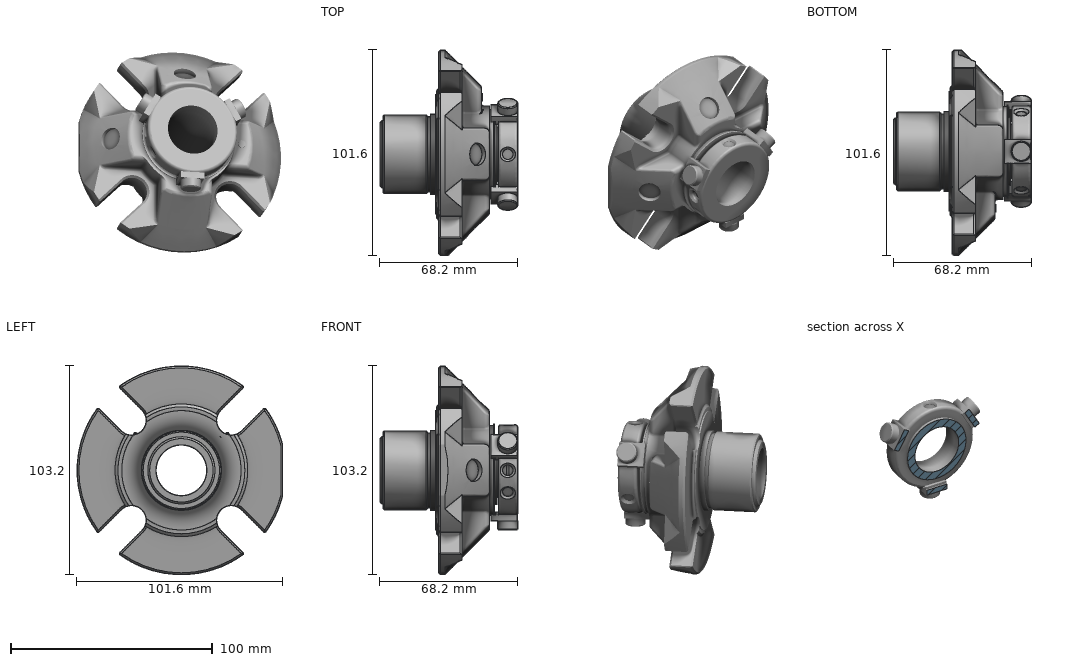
import cadquery as cq
import math


flange_radius = 51.6
flange_back = 29.0
flange_front = 40.6
flange_edge_chamfer = 0.9
slot_front_chamfer = 1.0
wing_corner_chamfer = 0.5
flat_offset = 50.0
slot_radius = 7.2
slot_center_radius = 34.9
quarter_turns = (0, 90, 180, 270)

cone_start = 32.1
cone_front_radius = flange_radius - (flange_front - cone_start)
bevel_rim_half = 19.0
bevel_front_half = 26.4
bevel_root_half = 12.0

gland_front = 54.1
gland_radius = 23.9
lug_half_width = 12.9
lug_root_fillet = 1.5
lug_edge_fillet = 1.2
lug_front_fillet = 2.5
lug_base_fillet = 1.4
lug_base_sink = 2.1
lug_base_margin = 1.9
long_lug_angles = (90, 180, 270)
short_lug_angles = (0,)
short_lug_front = 50.2
short_lug_root_fillet = 1.0
pin_diameter = 3.7
pin_height = 0.5
pin_radial_place = 28.2

port_diameter = 11.0
port_depth = 2.6
ports = ((180, 46.5), (90, 48.3))

pilot_back = 27.4
pilot_step = 28.0
pilot_radius = 29.5
pilot_step_radius = 31.3
pilot_base_radius = 32.8

lip_radius = 33.2 / 2
lip_chamfer = 0.9
nose_back = 1.5
nose_front = 23.4
nose_radius = 39.0 / 2
nose_chamfer = 0.6
neck_radius = 37.1 / 2
shoulder_back = 25.0
shoulder_radius = 39.6 / 2
washer_front = 56.1
washer_radius = 44.4 / 2
snap_ring_front = 56.7
snap_ring_radius = 45.9 / 2
spacer_front = 58.0
spacer_radius = 33.9 / 2
tube_radius = 27.0 / 2

bore_diameter = 25.0
collar_back = 58.5
collar_front = 68.2
collar_radius = 22.6
collar_edge_fillet = 1.5
screw_x = 63.16
screw_mouth_diameter = 7.6
screw_hole_diameter = 5.2
screw_countersink_depth = 1.2
screw_hole_depths = {90: 1.4, 210: 1.4, 330: 1.4, 180: 3.1}
driver_slot_width = 1.0
driver_slot_depth = 0.8
driver_slot_angle = 180

clip_angles = (30, 150, 270)
clip_back = 54.9
clip_front = 67.9
clip_width = 11.9
clip_inner = 21.9
clip_outer = 25.0
tongue_inner = 20.5
tongue_back = 57.1
head_diameter = 10.0
head_height = 4.4
head_chamfer = 0.5


def revolved(points):
    """Solid of revolution about X from (x, radius) points."""
    return cq.Workplane("XY").polyline(points).close().revolve(360, (0, 0, 0), (1, 0, 0))


def turned(start, end, radius):
    """Cylinder about X."""
    return cq.Workplane("YZ", origin=(start, 0, 0)).circle(radius).extrude(end - start)


def block(x_range, y_range, half_width):
    """Block spanning the X and Y ranges, centred on Z = 0."""
    (x0, x1), (y0, y1) = x_range, y_range
    shape = cq.Workplane("XY").box(x1 - x0, y1 - y0, 2 * half_width, centered=(False, False, True))
    return shape.translate((x0, y0, 0))


def about_axis(shape, angle):
    return shape.rotate((0, 0, 0), (1, 0, 0), angle)


def slot_cutter(start, end):
    """One open slot on the +Y side, turned onto the diagonal."""
    length = end - start
    cutter = (
        cq.Workplane("YZ", origin=(start, 0, 0))
        .center(slot_center_radius, 0)
        .circle(slot_radius)
        .extrude(length)
    )
    cutter = cutter.union(block((start, end), (slot_center_radius, flange_radius + 2.1), slot_radius))
    return about_axis(cutter, 45)


def cut_slots(shape, start, end):
    for angle in quarter_turns:
        shape = shape.cut(about_axis(slot_cutter(start, end), angle))
    return shape


def bevel_half_space(side):
    """Block outside the slanted plane that ends the bevel on one side of the +Y wing."""
    rim = cq.Vector(cone_start, math.sqrt(flange_radius**2 - bevel_rim_half**2), side * bevel_rim_half)
    front = cq.Vector(flange_front, math.sqrt(flange_radius**2 - bevel_front_half**2), side * bevel_front_half)
    root = cq.Vector(flange_front, math.sqrt(cone_front_radius**2 - bevel_root_half**2), side * bevel_root_half)
    normal = (front - rim).cross(root - rim)
    if normal.y < 0:
        normal = normal * -1
    plane = cq.Plane(origin=rim.toTuple(), xDir=(front - rim).toTuple(), normal=normal.toTuple())
    size = 3 * flange_radius
    return cq.Workplane(plane).rect(size, size).extrude(size)


def is_wing_corner(edge):
    """Edge where a slot runs out through the rim."""
    middle = edge.positionAt(0.5)
    return abs(math.hypot(middle.y, middle.z) - flange_radius) < 0.01 and abs(middle.y) < flat_offset - 1


def make_flange():
    flange = turned(flange_back, flange_front, flange_radius)
    flat = block((flange_back, flange_front), (flat_offset, flange_radius), flange_radius)
    flange = flange.cut(about_axis(flat, 180))
    flange = cut_slots(flange, flange_back, flange_front)
    flange = flange.faces("<X").edges().chamfer(flange_edge_chamfer)
    slot_edges = cq.selectors.RadiusNthSelector(0)
    flange = flange.faces(">X").edges(slot_edges).chamfer(slot_front_chamfer)
    flange = flange.edges("|X").filter(is_wing_corner).chamfer(wing_corner_chamfer)
    clear = flange_radius + 1
    bevel = revolved(
        [
            (cone_start, flange_radius),
            (flange_front, cone_front_radius),
            (flange_front, clear),
            (cone_start, clear),
        ]
    )
    bevel = bevel.intersect(bevel_half_space(1)).intersect(bevel_half_space(-1))
    for angle in quarter_turns:
        flange = flange.cut(about_axis(bevel, angle))
    return flange


def make_cross(start, end, radius, half_width, angles):
    """Round body with plain arms that reach past the flange rim."""
    cross = turned(start, end, radius)
    for angle in angles:
        arm = block((start, end), (0, flange_radius), half_width)
        cross = cross.union(about_axis(arm, angle))
    return cross


def is_root_corner(edge):
    """Inner corner between the round body and an arm."""
    middle = edge.positionAt(0.5)
    return math.hypot(middle.y, middle.z) < gland_radius + 1


def is_lug_front_edge(edge):
    """Edge of a lug's front face that stands clear of the round body."""
    middle = edge.positionAt(0.5)
    return math.hypot(middle.y, middle.z) > gland_radius + 0.6


def is_lug_slope_edge(edge):
    """Edge where the cone meets a flat side of a lug."""
    return edge.geomType() not in ("LINE", "CIRCLE") and edge.Length() > 10.3


def is_base_edge(edge):
    """Edge where the lugs and the round body rise from the flange front."""
    middle = edge.positionAt(0.5)
    across = min(abs(middle.y), abs(middle.z))
    beside_body = math.hypot(middle.y, middle.z) < gland_radius + 1
    return abs(middle.x - flange_front) < 0.01 and (beside_body or abs(across - lug_half_width) < 0.01)


def is_short_lug_root(edge):
    """Edge where the front of the +Y lug meets the round body."""
    middle = edge.positionAt(0.5)
    inside = math.hypot(middle.y, middle.z) < gland_radius + 0.05
    return inside and abs(middle.x - short_lug_front) < 0.01 and middle.y > lug_half_width


def make_lugs(front, angles):
    """Rounded lugs at the given angles, with their front faces at X = front."""
    base_back = flange_front - lug_base_sink
    cone = revolved(
        [
            (base_back, 0),
            (base_back, cone_front_radius),
            (flange_front, cone_front_radius),
            (front, cone_front_radius - (front - flange_front)),
            (front, 0),
        ]
    )
    lugs = make_cross(flange_front, front, gland_radius, lug_half_width, angles).intersect(cone)
    lugs = lugs.faces(">X").edges().filter(is_lug_front_edge).fillet(lug_front_fillet)
    lugs = lugs.edges().filter(is_lug_slope_edge).fillet(lug_edge_fillet)
    lugs = lugs.edges("|X").filter(is_root_corner).fillet(lug_root_fillet)

    base_radius = gland_radius + lug_base_margin
    base_half_width = lug_half_width + lug_base_margin
    lugs = lugs.union(make_cross(base_back, flange_front, base_radius, base_half_width, angles))
    lugs = lugs.edges().filter(is_base_edge).fillet(lug_base_fillet)
    return lugs.intersect(cone)


def make_gland():
    body = turned(flange_front, gland_front, gland_radius)
    gland = make_lugs(short_lug_front, short_lug_angles).union(body)
    gland = gland.edges().filter(is_short_lug_root).fillet(short_lug_root_fillet)
    gland = gland.union(make_lugs(gland_front, long_lug_angles))
    pin = turned(short_lug_front - 1, short_lug_front + pin_height, pin_diameter / 2)
    return gland.union(pin.translate((0, pin_radial_place, 0)))


def port_cutter(angle, x):
    """Shallow round port square to the cone."""
    radius = cone_front_radius + flange_front - x
    plane = cq.Plane(origin=(x, radius, 0), xDir=(0, 0, 1), normal=(1, 1, 0))
    cutter = cq.Workplane(plane).workplane(offset=-port_depth)
    return about_axis(cutter.circle(port_diameter / 2).extrude(2 * port_depth), angle)


def make_pilot():
    """Stepped disc that locates the flange, notched by the four slots."""
    pilot = revolved(
        [
            (pilot_back, 0),
            (pilot_back, pilot_radius),
            (pilot_step, pilot_radius),
            (pilot_step, pilot_step_radius),
            (flange_back, pilot_base_radius),
            (flange_back + flange_edge_chamfer, pilot_base_radius),
            (flange_back + flange_edge_chamfer, 0),
        ]
    )
    return cut_slots(pilot, pilot_back, flange_back + flange_edge_chamfer)


def make_sleeve():
    lip = turned(0, nose_back, lip_radius).faces("<X").edges().chamfer(lip_chamfer)
    nose = turned(nose_back, nose_front, nose_radius).edges("%CIRCLE").chamfer(nose_chamfer)
    neck = turned(nose_front, shoulder_back, neck_radius)
    shoulder = turned(shoulder_back, gland_front, shoulder_radius)
    washer = turned(gland_front, washer_front, washer_radius)
    snap_ring = turned(washer_front, snap_ring_front, snap_ring_radius)
    spacer = turned(snap_ring_front, spacer_front, spacer_radius)
    tube = turned(spacer_front, collar_back, tube_radius)
    sleeve = lip
    for ring in (nose, neck, shoulder, washer, snap_ring, spacer, tube):
        sleeve = sleeve.union(ring)
    return sleeve


def make_screw_hole(depth):
    """Countersunk screw hole on the +Y side of the collar."""
    cone_bottom = collar_radius - screw_countersink_depth
    mouth = screw_mouth_diameter / 2
    hole = screw_hole_diameter / 2
    profile = [
        (0, collar_radius - depth),
        (hole, collar_radius - depth),
        (hole, cone_bottom),
        (mouth, collar_radius),
        (mouth, collar_radius + 1),
        (0, collar_radius + 1),
    ]
    cutter = cq.Workplane("XY").polyline(profile).close().revolve(360, (0, 0, 0), (0, 1, 0))
    return cutter.translate((screw_x, 0, 0))


def make_collar():
    collar = turned(collar_back, collar_front, collar_radius).edges("%CIRCLE").fillet(collar_edge_fillet)
    for angle, depth in screw_hole_depths.items():
        collar = collar.cut(about_axis(make_screw_hole(depth), angle))
    floor = collar_radius - screw_hole_depths[driver_slot_angle]
    half_slot = driver_slot_width / 2
    driver_slot = block(
        (screw_x - half_slot, screw_x + half_slot),
        (floor - driver_slot_depth, floor),
        screw_hole_diameter / 2,
    )
    return collar.cut(about_axis(driver_slot, driver_slot_angle))


def make_clip():
    """Setting clip on the +Y side: plate, tongue behind the collar and screw head."""
    plate = block((clip_back, clip_front), (clip_inner, clip_outer), clip_width / 2)
    tongue = block((tongue_back, collar_back), (tongue_inner, clip_inner), clip_width / 2)
    head = cq.Workplane("XZ", origin=(screw_x, clip_outer, 0)).circle(head_diameter / 2).extrude(-head_height)
    head = head.faces(">Y").edges().chamfer(head_chamfer)
    return plate.union(tongue).union(head)


gland = make_gland()
for port_angle, port_x in ports:
    gland = gland.cut(port_cutter(port_angle, port_x))

result = make_flange().union(gland, clean=False)
for section in (make_pilot(), make_sleeve(), make_collar()):
    result = result.union(section, clean=False)
for clip_angle in clip_angles:
    result = result.union(about_axis(make_clip(), clip_angle), clean=False)
result = result.cut(turned(0, collar_front, bore_diameter / 2), clean=False)